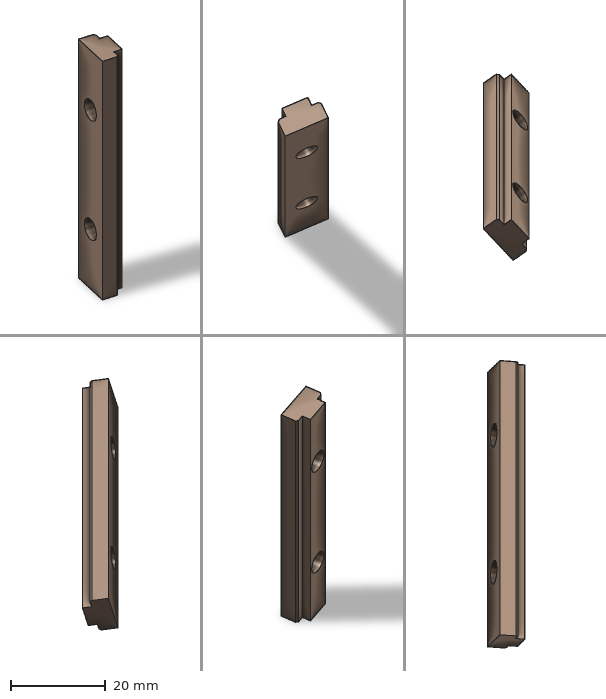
import cadquery as cq

length = 60
base_width = 10.0
depth = 6

base_depth = 4.0
tongue_width = 6
shoulder_chamfer = 0.5

hole_diameter = 5.0
hole_spacing = length / 2


def block(width, block_depth):
    """Full-length block whose -Y face lies on the plane Y = 0."""
    return cq.Workplane("XY").box(width, block_depth, length, centered=(True, False, True))


base = block(base_width, base_depth).faces(">Y").edges("|Z").chamfer(shoulder_chamfer)
tongue = block(tongue_width, depth)

holes = (
    cq.Workplane("XZ")
    .rarray(0.6, hole_spacing, 1, 2)
    .circle(hole_diameter / 2)
    .extrude(-depth)
)

result = base.union(tongue).cut(holes)